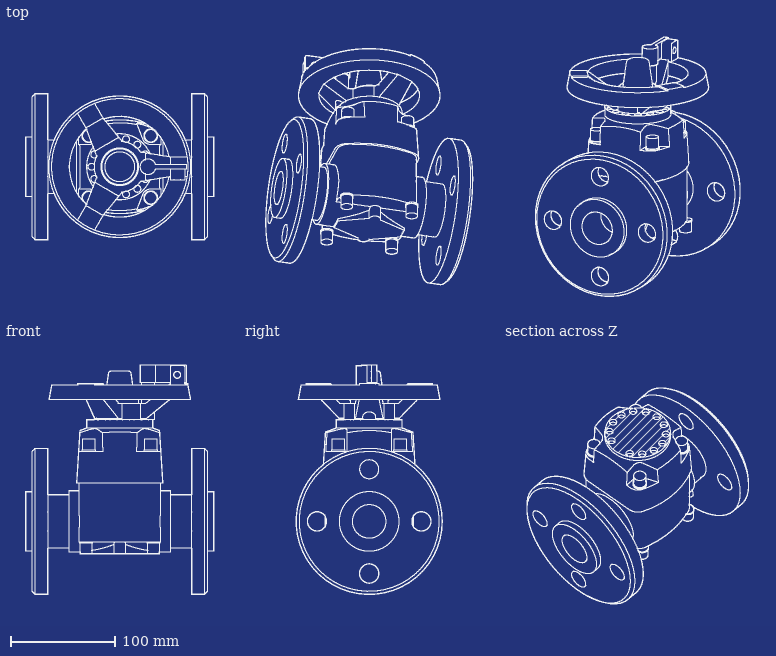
import cadquery as cq
import math

overall_length = 180.0
overall_height = 219.8
flange_diameter = 140.0

half_length = overall_length / 2
raised_face_radius = 28.5
raised_face_height = 6.0
flange_radius = flange_diameter / 2
flange_thickness = 15.2
flange_chamfer = 3.0
flange_hole_diameter = 18.2
flange_hole_circle = 50.0
flange_hole_count = 4
pipe_radius = 25.7
collar_radius = 29.5
collar_half_length = 48.5
bore_radius = 16.0

flange_face_x = half_length - raised_face_height
flange_back_x = flange_face_x - flange_thickness

body_corner_x = 26.8
body_corner_y = 26.0
body_corner_radius = 12.3
body_side_y = 42.5
body_bottom_z = -19.5
body_top_z = 36.7
bonnet_corner_x = 28.5
bonnet_corner_y = 26.4
bonnet_corner_radius = 12.8
bonnet_side_y = 45.0
bonnet_draft = 3.6
bonnet_cone_z = 89.5
bonnet_cone_slope = 0.38

bolt_spacing = 29.7
bolt_head_radius = 6.0
bolt_top_z = 79.0
washer_radius = 6.5
washer_height = 1.3
pocket_floor_z = 67.0
pocket_radius = 8.4
pocket_lean = 21.0

stud_x = 32.3
stud_y = 35.2
stud_radius = 5.7
stud_washer_radius = 6.2
foot_z = -31.2
saddle_half_length = 33.0
saddle_end_half_width = 6.5
saddle_half_width = 22.0
saddle_pin_y = 19.8
saddle_pin_radius = 5.5

ring_radius = 31.7
ring_top_z = 97.4
index_hole_count = 14
index_hole_circle = 27.0
index_hole_radius = 3.3

rim_bottom_z = 116.5
rim_top_z = 130.5
rim_bottom_radius = 68.0
rim_top_radius = 65.3
rim_inner_radius = 48.1
hub_radius = 24.5
hub_top_z = 113.0
spoke_count = 3
spoke_bottom_z = 98.7
spoke_top_z = 132.0
spoke_top_start = 24.8
spoke_bottom_start = 25.7
spoke_top_end = 48.4
spoke_root_radius = 17.5
spoke_root_half_width = 14.5
spoke_rim_half_width = 9.5

nut_disc_radius = 18.0
nut_disc_top_z = 118.0
nut_disc_chamfer = 0.9
nut_base_radius = 14.3
nut_top_radius = 10.5
nut_top_z = 144.0
nut_fillet = 2.6

lock_top_z = overall_height - flange_radius
lock_bottom_z = 132.8
pin_x = 27.0
pin_diameter = 12.5
pin_head_radius = 7.5
bar_half_thickness = 2.2
bar_end_x = 64.0
block_start_x = 48.4
block_end_x = 62.5
block_front_y = -12.5
block_top_z = 149.0
lock_fillet = 1.3
lock_hole_x = 55.0
lock_hole_z = 140.3
lock_hole_diameter = 6.4


def cylinder(radius, bottom, top, x=0, y=0):
    return cq.Workplane("XY", origin=(x, y, bottom)).circle(radius).extrude(top - bottom)


def pipe_end():
    """The +X half of the pipe run, with its flange and bore."""
    half = (
        cq.Workplane("XY")
        .moveTo(0, 0)
        .lineTo(0, collar_radius)
        .lineTo(collar_half_length, collar_radius)
        .lineTo(collar_half_length, pipe_radius)
        .lineTo(flange_back_x, pipe_radius)
        .lineTo(flange_back_x, flange_radius)
        .lineTo(flange_face_x - flange_chamfer, flange_radius)
        .lineTo(flange_face_x, flange_radius - flange_chamfer)
        .lineTo(flange_face_x, raised_face_radius)
        .lineTo(half_length, raised_face_radius)
        .lineTo(half_length, 0)
        .close()
        .revolve(360, (0, 0, 0), (1, 0, 0))
    )
    holes = (
        cq.Workplane("YZ", origin=(flange_back_x, 0, 0))
        .polarArray(flange_hole_circle, 0, 360, flange_hole_count)
        .circle(flange_hole_diameter / 2)
        .extrude(flange_thickness)
    )
    bore = (
        cq.Workplane("YZ", origin=(collar_half_length, 0, 0))
        .circle(bore_radius)
        .extrude(half_length - collar_half_length)
    )
    return half.cut(holes).cut(bore)


def bulged_block(corner_x, corner_y, corner_radius, side_y, bottom, top, draft=0):
    """Rounded block whose +Y and -Y sides bulge outwards, narrowing upwards with the draft."""
    half_width = corner_x + corner_radius
    reach = side_y - corner_y
    bulge = (corner_x**2 + reach**2 - corner_radius**2) / (2 * (reach - corner_radius))
    lean = math.asin(corner_x / (bulge - corner_radius))
    arc_x = corner_x + corner_radius * math.sin(lean)
    arc_y = corner_y + corner_radius * math.cos(lean)
    middle = (math.pi / 2 - lean) / 2
    middle_x = corner_x + corner_radius * math.cos(middle)
    middle_y = corner_y + corner_radius * math.sin(middle)
    return (
        cq.Workplane("XY", origin=(0, 0, bottom))
        .moveTo(half_width, -corner_y)
        .lineTo(half_width, corner_y)
        .threePointArc((middle_x, middle_y), (arc_x, arc_y))
        .threePointArc((0, side_y), (-arc_x, arc_y))
        .threePointArc((-middle_x, middle_y), (-half_width, corner_y))
        .lineTo(-half_width, -corner_y)
        .threePointArc((-middle_x, -middle_y), (-arc_x, -arc_y))
        .threePointArc((0, -side_y), (arc_x, -arc_y))
        .threePointArc((middle_x, -middle_y), (half_width, -corner_y))
        .close()
        .extrude(top - bottom, taper=draft)
    )


def four_corners(shape):
    """The shape of the +X +Y corner, mirrored to all four corners."""
    pair = shape.union(shape.mirror("YZ"))
    return pair.union(pair.mirror("XZ"))


def bolt_pocket():
    """Open pocket round one bolt, with a leaning wall and a wall along X."""
    lean = math.radians(pocket_lean)
    reach = 2 * pocket_radius
    wall_x = bolt_spacing - pocket_radius * math.cos(lean)
    wall_y = bolt_spacing - pocket_radius * math.sin(lean)
    middle = math.radians((270 + 180 + pocket_lean) / 2)
    middle_x = bolt_spacing + pocket_radius * math.cos(middle)
    middle_y = bolt_spacing + pocket_radius * math.sin(middle)
    return (
        cq.Workplane("XY", origin=(0, 0, pocket_floor_z))
        .moveTo(bolt_spacing + reach, bolt_spacing - pocket_radius)
        .lineTo(bolt_spacing, bolt_spacing - pocket_radius)
        .threePointArc((middle_x, middle_y), (wall_x, wall_y))
        .lineTo(wall_x - reach * math.sin(lean), wall_y + reach * math.cos(lean))
        .lineTo(bolt_spacing + reach, wall_y + reach * math.cos(lean))
        .close()
        .extrude(bonnet_cone_z - pocket_floor_z)
    )


def bonnet():
    block = bulged_block(
        bonnet_corner_x,
        bonnet_corner_y,
        bonnet_corner_radius,
        bonnet_side_y,
        body_top_z,
        bonnet_cone_z,
        bonnet_draft,
    )
    outer = 2 * bonnet_side_y
    cone_roof = (
        cq.Workplane("XZ")
        .moveTo(0, body_top_z)
        .lineTo(outer, body_top_z)
        .lineTo(outer, bonnet_cone_z - bonnet_cone_slope * (outer - ring_radius))
        .lineTo(ring_radius, bonnet_cone_z)
        .lineTo(0, bonnet_cone_z)
        .close()
        .revolve(360, (0, 0, 0), (0, 1, 0))
    )
    washer_top_z = pocket_floor_z + washer_height
    washer = cylinder(washer_radius, pocket_floor_z, washer_top_z, bolt_spacing, bolt_spacing)
    head = cylinder(bolt_head_radius, pocket_floor_z, bolt_top_z, bolt_spacing, bolt_spacing)
    bolts = four_corners(washer.union(head))
    return block.intersect(cone_roof).cut(four_corners(bolt_pocket())).union(bolts)


def underside():
    """Corner studs and the pointed saddle under the pipe run."""
    saddle = (
        cq.Workplane("XY", origin=(0, 0, foot_z))
        .polyline(
            [
                (saddle_half_length, saddle_end_half_width),
                (0, saddle_half_width),
                (-saddle_half_length, saddle_end_half_width),
                (-saddle_half_length, -saddle_end_half_width),
                (0, -saddle_half_width),
                (saddle_half_length, -saddle_end_half_width),
            ]
        )
        .close()
        .extrude(body_bottom_z - foot_z)
    )
    washer = cylinder(stud_washer_radius, body_bottom_z - washer_height, body_bottom_z, stud_x, stud_y)
    stud = cylinder(stud_radius, foot_z, body_bottom_z, stud_x, stud_y)
    feet = four_corners(washer.union(stud)).union(saddle)
    for y in (-saddle_pin_y, saddle_pin_y):
        feet = feet.union(cylinder(saddle_pin_radius, foot_z, body_bottom_z, 0, y))
    return feet


def index_ring():
    """Ring of index holes; the place under the locking pin stays solid."""
    ring = cylinder(ring_radius, bonnet_cone_z, ring_top_z)
    for place in range(1, index_hole_count):
        angle = 2 * math.pi * place / index_hole_count
        x = index_hole_circle * math.cos(angle)
        y = index_hole_circle * math.sin(angle)
        ring = ring.cut(cylinder(index_hole_radius, bonnet_cone_z, ring_top_z, x, y))
    return ring


def spoke():
    """Sloping spoke along +X, ending in a raised pad on the rim."""
    slope = (spoke_top_z - hub_top_z) / (spoke_top_end - spoke_top_start)
    bottom_end = spoke_bottom_start + (rim_bottom_z - spoke_bottom_z) / slope
    side = (
        cq.Workplane("XZ")
        .polyline(
            [
                (spoke_root_radius, spoke_bottom_z),
                (spoke_bottom_start, spoke_bottom_z),
                (bottom_end, rim_bottom_z),
                (rim_top_radius, rim_bottom_z),
                (rim_top_radius, spoke_top_z),
                (spoke_top_end, spoke_top_z),
                (spoke_top_start, hub_top_z),
                (spoke_root_radius, hub_top_z),
            ]
        )
        .close()
        .extrude(2 * spoke_root_half_width, both=True)
    )
    rim_end = math.sqrt(rim_top_radius**2 - spoke_rim_half_width**2)
    plan = (
        cq.Workplane("XY", origin=(0, 0, spoke_bottom_z))
        .moveTo(spoke_root_radius, -spoke_root_half_width)
        .lineTo(spoke_top_end, -spoke_rim_half_width)
        .lineTo(rim_end, -spoke_rim_half_width)
        .threePointArc((rim_top_radius, 0), (rim_end, spoke_rim_half_width))
        .lineTo(spoke_top_end, spoke_rim_half_width)
        .lineTo(spoke_root_radius, spoke_root_half_width)
        .close()
        .extrude(spoke_top_z - spoke_bottom_z)
    )
    return side.intersect(plan)


def handwheel():
    wheel = (
        cq.Workplane("XZ")
        .polyline(
            [
                (rim_inner_radius, rim_bottom_z),
                (rim_bottom_radius, rim_bottom_z),
                (rim_top_radius, rim_top_z),
                (rim_inner_radius, rim_top_z),
            ]
        )
        .close()
        .revolve(360, (0, 0, 0), (0, 1, 0))
    )
    wheel = wheel.union(cylinder(hub_radius, ring_top_z, hub_top_z))
    for number in range(spoke_count):
        wheel = wheel.union(spoke().rotate((0, 0, 0), (0, 0, 1), 360 * number / spoke_count))
    return wheel


def spindle_nut():
    disc = cylinder(nut_disc_radius, hub_top_z, nut_disc_top_z).faces(">Z").edges().chamfer(nut_disc_chamfer)
    cone = (
        cq.Workplane("XZ")
        .polyline(
            [
                (0, nut_disc_top_z),
                (nut_base_radius, nut_disc_top_z),
                (nut_top_radius, nut_top_z),
                (0, nut_top_z),
            ]
        )
        .close()
        .revolve(360, (0, 0, 0), (0, 1, 0))
        .faces(">Z")
        .edges()
        .fillet(nut_fillet)
    )
    return disc.union(cone)


def locking_pin():
    pin = cylinder(pin_diameter / 2, ring_top_z, lock_bottom_z, pin_x)
    head = cylinder(pin_head_radius, lock_bottom_z, lock_top_z, pin_x)
    bar_size = (bar_end_x - pin_x, 2 * bar_half_thickness, lock_top_z - lock_bottom_z)
    bar = (
        cq.Workplane("XY", origin=(pin_x, 0, lock_bottom_z))
        .box(*bar_size, centered=(False, True, False))
        .edges(">X and >Z")
        .fillet(lock_fillet)
    )
    block = (
        cq.Workplane("XY", origin=(block_start_x, block_front_y, rim_top_z))
        .box(block_end_x - block_start_x, -block_front_y, block_top_z - rim_top_z, centered=False)
        .faces(">Z")
        .edges("|Y")
        .fillet(lock_fillet)
    )
    hole = (
        cq.Workplane("XZ", origin=(lock_hole_x, 0, lock_hole_z))
        .circle(lock_hole_diameter / 2)
        .extrude(-2 * block_front_y, both=True)
    )
    return pin.union(head).union(bar).union(block).cut(hole)


result = (
    bulged_block(body_corner_x, body_corner_y, body_corner_radius, body_side_y, body_bottom_z, body_top_z)
    .union(pipe_end())
    .union(pipe_end().mirror("YZ"))
    .union(underside())
    .union(bonnet())
    .union(index_ring())
    .union(handwheel())
    .union(spindle_nut())
    .union(locking_pin())
)